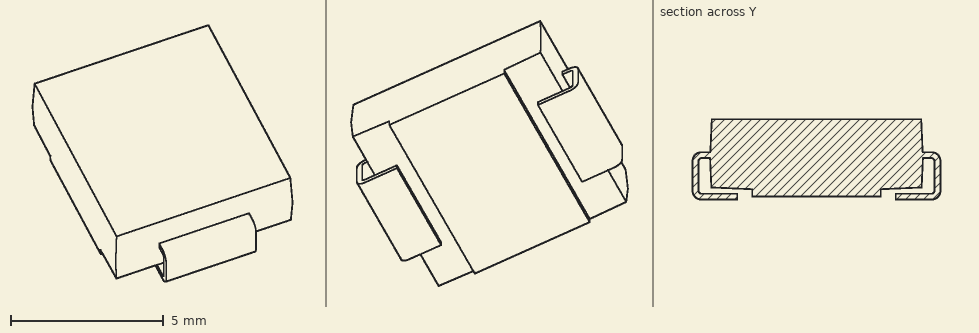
import math

import cadquery as cq

BODY_LENGTH = 6.98
BODY_WIDTH = 6.3
TOP_Z = 2.64
PARTING_Z = 1.36
BOTTOM_Z = 0.1
DRAFT_ANGLE = 2.5

PEDESTAL_LENGTH = 4.22
RELIEF_ROOT_Z = 0.34

BAND_OUTER_X = -2.985
BAND_INNER_X = -2.73

LEAD_SPAN = 8.13
LEAD_WIDTH = 3.2
LEAD_THICKNESS = 0.2
LEAD_TOP_Z = PARTING_Z + LEAD_THICKNESS
LEAD_INNER_RADIUS = 0.1
LEAD_OUTER_RADIUS = LEAD_INNER_RADIUS + LEAD_THICKNESS
FOOT_LENGTH = 1.475
LEAD_EMBED = 0.2

DRAFT_SLOPE = math.tan(math.radians(DRAFT_ANGLE))


def body_half(height):
    """Half of the body, narrowing away from the parting plane; negative height goes down."""
    return (
        cq.Workplane("XY", origin=(0, 0, PARTING_Z))
        .rect(BODY_LENGTH, BODY_WIDTH)
        .extrude(height, taper=DRAFT_ANGLE)
    )


def foot_relief():
    """Cutter for the left underside, its ceiling rising outward at the draft angle."""
    root_x = -PEDESTAL_LENGTH / 2
    outer_x = -LEAD_SPAN / 2
    outer_z = RELIEF_ROOT_Z + (root_x - outer_x) * DRAFT_SLOPE
    return (
        cq.Workplane("XZ")
        .polyline([(root_x, 0), (root_x, RELIEF_ROOT_Z), (outer_x, outer_z), (outer_x, 0)])
        .close()
        .extrude(BODY_WIDTH / 2, both=True)
    )


def body_slice(body, start_x, end_x):
    """Part of the body between two X positions, cut square across."""
    slab = (
        cq.Workplane("XY")
        .box(end_x - start_x, BODY_WIDTH, TOP_Z)
        .translate(((start_x + end_x) / 2, 0, TOP_Z / 2))
    )
    return body.intersect(slab)


def banded_body():
    """Body with the polarity band kept as separate flush faces."""
    relief = foot_relief()
    body = body_half(TOP_Z - PARTING_Z).union(body_half(BOTTOM_Z - PARTING_Z))
    body = body.cut(relief).cut(relief.mirror("YZ"))
    end_cap = body_slice(body, -BODY_LENGTH / 2, BAND_OUTER_X)
    band = body_slice(body, BAND_OUTER_X, BAND_INNER_X)
    main_block = body_slice(body, BAND_INNER_X, BODY_LENGTH / 2)
    return main_block.union(band, clean=False).union(end_cap, clean=False)


def lead_block(left_x, right_x, low_z, high_z, left_radius=0):
    """Block as wide as a lead, with its two left-hand edges optionally rounded."""
    block = (
        cq.Workplane("XY")
        .box(right_x - left_x, LEAD_WIDTH, high_z - low_z)
        .translate(((left_x + right_x) / 2, 0, (low_z + high_z) / 2))
    )
    if left_radius:
        block = block.edges("|Y and <X").fillet(left_radius)
    return block


def left_lead():
    """C-shaped lead, folded down from the body and back under it."""
    outer_x = -LEAD_SPAN / 2
    inner_x = outer_x + LEAD_THICKNESS
    embed_x = -BODY_LENGTH / 2 + LEAD_EMBED
    foot_x = outer_x + FOOT_LENGTH

    outside = lead_block(outer_x, embed_x, 0, LEAD_TOP_Z, LEAD_OUTER_RADIUS)
    inside = lead_block(
        inner_x, embed_x, LEAD_THICKNESS, LEAD_TOP_Z - LEAD_THICKNESS, LEAD_INNER_RADIUS
    )
    foot_tip = lead_block(embed_x, foot_x, 0, LEAD_THICKNESS)
    return outside.cut(inside).union(foot_tip)


lead = left_lead()
result = banded_body().union(lead, clean=False).union(lead.mirror("YZ"), clean=False)